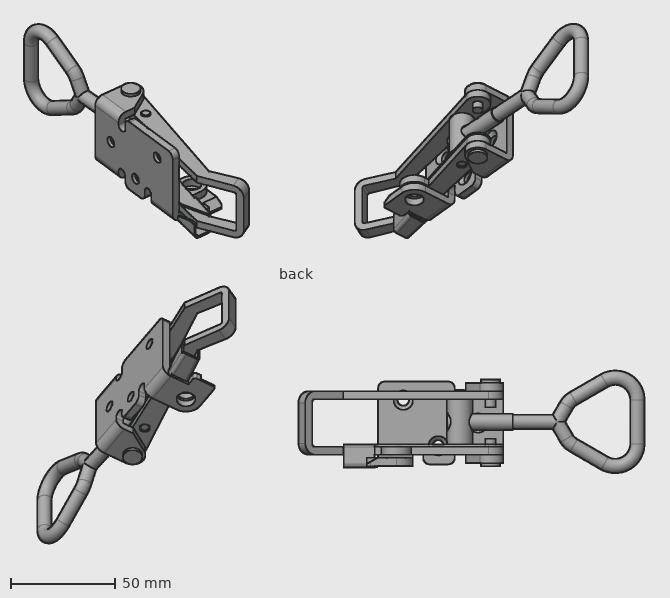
import cadquery as cq
import math


OVERALL_LENGTH = 166.3
SHEET = 4.0
PIVOT = (6.2, 17.0)
PIVOT_ROUND = 6.2
TRUNNION = (21.0, 14.5)
PADLOCK = (51.4, 18.6)
PADLOCK_HOLE_R = 4.5

BASE_LENGTH = 60.2
BASE_HALF_HEIGHT = 20.0
BASE_CORNER_R = 3.3
BEND_R = 4.5
EAR_OUTER_Z = 19.3
EAR_WIDTH = 18.1
EAR_SHOULDER_Y = 9.8
NOTCH_DEPTH_Z = 11.3
NOTCH_TAB_START = 23.3
LOWER_TAB_END = 38.6
LOCK_EAR_START = 43.4
LOCK_EAR_OUTER_Z = 20.8
LOCK_EAR_R = 8.0
HOOK_END = 65.5
HOOK_BOTTOM_Y = 14.5
HOOK_CORNER_R = 1.5
RAMP_START = 60.5
RAMP_BOTTOM_Y = 18.3
RAMP_DROP = 2.8
SCREW_HOLE_R = 2.7
COUNTERSINK_DEPTH = 2.0
SCREW_HOLES = [(12.1, 0), (48.0, 11.0), (31.3, -11.0)]

LEVER_OUTER_Z = EAR_OUTER_Z - SHEET
LEVER_INNER_Z = LEVER_OUTER_Z - SHEET
ELBOW_TOP = (76.8, 9.0)
ELBOW_BOTTOM = (76.5, 2.0)
GRIP_END_TOP = (95.1, 19.3)
GRIP_END_BOTTOM = (98.5, 13.3)
GRIP_CORNER_R = 5.7
GRIP_INNER_R = 1.0
PADLOCK_RING_R = 7.2

CLIP_SHEET = 1.08
CLIP_TOP_Z = CLIP_SHEET - LEVER_INNER_Z
CLIP_BOTTOM_Z = -21.5
CLIP_WRAP_START = 61.9
CLIP_WRAP_END = 76.7
CLIP_GAP = 0.3
CLIP_TOP_BEND_R = 1.2
CLIP_BOTTOM_BEND_R = 1.8
FINGER_START = 60.5
FINGER_END = 75.5
FINGER_PEAK_X = 71.8
FINGER_PEAK_Z = -13.6
FINGER_LOW_Z = -17.8

RIVET_R = 2.5
RIVET_HEAD_R = 4.7
RIVET_HEAD_HEIGHT = 1.58
RIVET_TAIL_Z = 7.7

BARREL_R = 6.2
BARREL_BORE_R = 4.3
BARREL_MID_Z = (LEVER_INNER_Z + CLIP_TOP_Z) / 2
BARREL_LENGTH = LEVER_INNER_Z - CLIP_TOP_Z
JOURNAL_R = 2.5
JOURNAL_LENGTH = 30.6
JOURNAL_CHAMFER = 0.5

WIRE_R = 3.5
THREAD_R = 4.0
THREAD_START = -25.5
LOOP_TILT = 2.0
LOOP_HEIGHT = 49.4
LOOP_CORNER_R = 10.6
LOOP_CORNER_Z = LOOP_HEIGHT / 2 - WIRE_R - LOOP_CORNER_R
LOOP_REACH = OVERALL_LENGTH - GRIP_END_BOTTOM[0] + TRUNNION[0] - WIRE_R
LOOP_BACK_X = -LOOP_REACH / math.cos(math.radians(LOOP_TILT))
LOOP_SIDE_ANGLE = math.radians(30)
LOOP_SIDE_LENGTH = 17.1
LOOP_NECK_ANGLE = math.radians(60)
LOOP_NECK_R = 9.0


def polar(center, radius, angle):
    return (center[0] + radius * math.cos(angle), center[1] + radius * math.sin(angle))


def tangent_point(center, radius, point, side):
    """Where a line from point touches a circle; side +1 is the upper touch, -1 the lower."""
    dx = point[0] - center[0]
    dy = point[1] - center[1]
    angle = math.atan2(dy, dx) + side * math.acos(radius / math.hypot(dx, dy))
    return polar(center, radius, angle)


def prism(outline, z_low, z_high):
    return outline.extrude(z_high - z_low).translate((0, 0, z_low))


def cylinder(center, radius, z_low, z_high):
    return prism(cq.Workplane("XY").center(*center).circle(radius), z_low, z_high)


def polygon_prism(points, z_low, z_high):
    return prism(cq.Workplane("XY").polyline(points).close(), z_low, z_high)


def height_on_line(start, end, x):
    return start[1] + (end[1] - start[1]) * (x - start[0]) / (end[0] - start[0])



def bent_strip(x_start, x_end, outer_z, reach_y):
    """An L section along X: a strip of the plate bent into a flange facing +Z."""
    bend_inner_r = BEND_R - SHEET
    bend_z = outer_z - BEND_R
    mid = math.sqrt(0.5)
    return (
        cq.Workplane("YZ")
        .moveTo(0, 0)
        .lineTo(0, bend_z)
        .threePointArc((BEND_R - BEND_R * mid, bend_z + BEND_R * mid), (BEND_R, outer_z))
        .lineTo(reach_y, outer_z)
        .lineTo(reach_y, outer_z - SHEET)
        .lineTo(BEND_R, outer_z - SHEET)
        .threePointArc((BEND_R - bend_inner_r * mid, bend_z + bend_inner_r * mid), (SHEET, bend_z))
        .lineTo(SHEET, 0)
        .close()
        .extrude(x_end - x_start)
        .translate((x_start, 0, 0))
    )


def pivot_ear():
    shoulder = (EAR_WIDTH, EAR_SHOULDER_Y)
    outline = (
        cq.Workplane("XY")
        .moveTo(PIVOT[0] - PIVOT_ROUND, 0)
        .lineTo(PIVOT[0] - PIVOT_ROUND, PIVOT[1])
        .threePointArc((PIVOT[0], PIVOT[1] + PIVOT_ROUND), tangent_point(PIVOT, PIVOT_ROUND, shoulder, 1))
        .lineTo(*shoulder)
        .lineTo(EAR_WIDTH, 0)
        .close()
    )
    strip = bent_strip(0, EAR_WIDTH, EAR_OUTER_Z, PIVOT[1] + PIVOT_ROUND)
    ear = strip.intersect(prism(outline, 0, EAR_OUTER_Z))
    return ear.cut(cylinder(PIVOT, RIVET_R, LEVER_OUTER_Z, EAR_OUTER_Z))


def lock_ear():
    """Padlock ear with a ramped hook, facing +Z like pivot_ear; it is mirrored to the lower edge."""
    top_y = PADLOCK[1] + LOCK_EAR_R
    inner_z = LOCK_EAR_OUTER_Z - SHEET
    outline = (
        cq.Workplane("XY")
        .moveTo(LOCK_EAR_START, 0)
        .lineTo(LOCK_EAR_START, PADLOCK[1])
        .threePointArc(polar(PADLOCK, LOCK_EAR_R, math.radians(135)), (PADLOCK[0], top_y))
        .lineTo(BASE_LENGTH, top_y)
        .lineTo(BASE_LENGTH, 0)
        .close()
    )
    strip = bent_strip(LOCK_EAR_START, BASE_LENGTH, LOCK_EAR_OUTER_Z, top_y)
    ear = strip.intersect(prism(outline, 0, LOCK_EAR_OUTER_Z))
    hook = (
        cq.Workplane("XY")
        .box(HOOK_END - PADLOCK[0], top_y - HOOK_BOTTOM_Y, SHEET, centered=False)
        .edges(">X and |Z")
        .fillet(HOOK_CORNER_R)
        .translate((PADLOCK[0], HOOK_BOTTOM_Y, inner_z))
    )
    ramp = (
        cq.Workplane("XZ", origin=(0, top_y, 0))
        .polyline([(RAMP_START, inner_z), (HOOK_END, inner_z), (HOOK_END, inner_z + RAMP_DROP)])
        .close()
        .extrude(top_y - RAMP_BOTTOM_Y)
    )
    hole = cylinder(PADLOCK, PADLOCK_HOLE_R, inner_z, LOCK_EAR_OUTER_Z)
    return ear.union(hook.cut(ramp)).cut(hole)


def base_panel():
    """Flat part of the base, with rounded tabs between the corner-relief notches."""
    bend_z = EAR_OUTER_Z - BEND_R
    lock_bend_z = LOCK_EAR_OUTER_Z - BEND_R

    def block(x_start, x_end, z_low, z_high):
        return (
            cq.Workplane("XY")
            .box(x_end - x_start, SHEET, z_high - z_low, centered=False)
            .translate((x_start, 0, z_low))
        )

    panel = block(0, BASE_LENGTH, -bend_z, bend_z)
    panel = panel.union(block(LOCK_EAR_START, BASE_LENGTH, -lock_bend_z, 0))
    upper_tab = block(NOTCH_TAB_START, BASE_LENGTH, 0, BASE_HALF_HEIGHT)
    lower_tab = block(NOTCH_TAB_START, LOWER_TAB_END, -BASE_HALF_HEIGHT, 0)
    panel = panel.union(upper_tab.edges(">Z and |Y").fillet(BASE_CORNER_R))
    panel = panel.union(lower_tab.edges("<Z and |Y").fillet(BASE_CORNER_R))
    notches = [
        (EAR_WIDTH, NOTCH_TAB_START, 1),
        (EAR_WIDTH, NOTCH_TAB_START, -1),
        (LOWER_TAB_END, LOCK_EAR_START, -1),
    ]
    for x_start, x_end, side in notches:
        radius = (x_end - x_start) / 2
        round_z = side * (NOTCH_DEPTH_Z + radius)
        edge_z = side * LOCK_EAR_OUTER_Z
        slot = block(x_start, x_end, min(round_z, edge_z), max(round_z, edge_z))
        end = (
            cq.Workplane("XZ")
            .center(x_start + radius, round_z)
            .circle(radius)
            .extrude(-SHEET)
        )
        panel = panel.cut(slot).cut(end)
    screw_holes = cq.Workplane("XZ").pushPoints(SCREW_HOLES).circle(SCREW_HOLE_R).extrude(-SHEET)
    countersinks = (
        cq.Workplane("XZ", origin=(0, SHEET, 0))
        .pushPoints(SCREW_HOLES)
        .circle(SCREW_HOLE_R + COUNTERSINK_DEPTH)
        .extrude(COUNTERSINK_DEPTH, taper=45)
    )
    return panel.cut(screw_holes).cut(countersinks)


def make_base():
    ear = pivot_ear()
    bend_z = EAR_OUTER_Z - BEND_R
    lock_bend_z = LOCK_EAR_OUTER_Z - BEND_R
    ear = ear.cut(cq.Workplane("XY").box(BASE_LENGTH, SHEET, bend_z, centered=False))
    lock = lock_ear().cut(cq.Workplane("XY").box(BASE_LENGTH, SHEET, lock_bend_z, centered=False))
    return base_panel().union(ear).union(ear.mirror("XY")).union(lock.mirror("XY"))



ARM_TOP = tangent_point(PIVOT, PIVOT_ROUND, ELBOW_TOP, 1)
ARM_BOTTOM = tangent_point(PIVOT, PIVOT_ROUND, ELBOW_BOTTOM, -1)
ARM_BACK = (PIVOT[0] - PIVOT_ROUND, PIVOT[1])


def arm_top_y(x):
    return height_on_line(ARM_TOP, ELBOW_TOP, x)


def arm_bottom_y(x):
    return height_on_line(ARM_BOTTOM, ELBOW_BOTTOM, x)


def grip_opening():
    """Block between the two arms; its end face is parallel to the end of the grip."""
    end_dx = GRIP_END_BOTTOM[0] - GRIP_END_TOP[0]
    end_dy = GRIP_END_BOTTOM[1] - GRIP_END_TOP[1]
    end_length = math.hypot(end_dx, end_dy)
    outward = cq.Vector(-end_dy / end_length, end_dx / end_length, 0)
    inner_face = cq.Plane(
        origin=(
            GRIP_END_TOP[0] - SHEET * outward.x,
            GRIP_END_TOP[1] - SHEET * outward.y,
            0,
        ),
        xDir=(end_dx, end_dy, 0),
        normal=outward.toTuple(),
    )
    reach = GRIP_END_BOTTOM[0]
    return (
        cq.Workplane(inner_face)
        .rect(2 * reach, 2 * LEVER_INNER_Z)
        .extrude(-2 * reach)
        .edges(cq.selectors.ParallelDirSelector(cq.Vector(end_dx, end_dy, 0)))
        .fillet(GRIP_INNER_R)
    )


def padlock_ring():
    """Ear on the lower arm: a ring carried on straight flanks down to the arm."""
    ring = cylinder(PADLOCK, PADLOCK_RING_R, -LEVER_OUTER_Z, -LEVER_INNER_Z)
    left = PADLOCK[0] - PADLOCK_RING_R
    right = PADLOCK[0] + PADLOCK_RING_R
    foot_left = (left, arm_bottom_y(left))
    foot_right = (right, arm_bottom_y(right))
    flanks = polygon_prism(
        [(left, PADLOCK[1]), foot_left, foot_right, (right, PADLOCK[1])], -LEVER_OUTER_Z, -LEVER_INNER_Z
    )
    return ring.union(flanks)


def make_lever():
    side_outline = (
        cq.Workplane("XY")
        .moveTo(*ARM_TOP)
        .threePointArc(ARM_BACK, ARM_BOTTOM)
        .polyline([ELBOW_BOTTOM, GRIP_END_BOTTOM, GRIP_END_TOP, ELBOW_TOP], includeCurrent=True)
        .close()
    )
    lever = prism(side_outline, -LEVER_OUTER_Z, LEVER_OUTER_Z)
    end_mid = [(a + b) / 2 for a, b in zip(GRIP_END_TOP, GRIP_END_BOTTOM)]
    for side in (-1, 1):
        corner = cq.selectors.NearestToPointSelector((*end_mid, side * LEVER_OUTER_Z))
        lever = lever.edges(corner).fillet(GRIP_CORNER_R)
    lever = lever.cut(grip_opening()).union(padlock_ring())
    lever = lever.cut(cylinder(PADLOCK, PADLOCK_HOLE_R, -LEVER_OUTER_Z, 0))
    lever = lever.cut(cylinder(PIVOT, RIVET_R, -LEVER_OUTER_Z, LEVER_OUTER_Z))
    return lever.cut(cylinder(TRUNNION, JOURNAL_R, -LEVER_OUTER_Z, LEVER_OUTER_Z))



def clip_wall_y(x):
    return arm_top_y(x) + CLIP_GAP


def round_long_edges(block, ends, radius):
    """Fillets the lengthwise edges that pass midway between each pair of end points."""
    for start, end in ends:
        middle = [(a + b) / 2 for a, b in zip(start, end)]
        block = block.edges(cq.selectors.NearestToPointSelector(middle)).fillet(radius)
    return block


def clip_tube(x_start, offset, z_low, z_high, low_bend_r):
    """Four-sided block along the lower arm, grown by offset, with rounded lower bends."""
    x_end = CLIP_WRAP_END
    low = [(x, arm_bottom_y(x) - offset) for x in (x_start, x_end)]
    high = [(x, clip_wall_y(x) + offset) for x in (x_start, x_end)]
    block = polygon_prism([*low, *reversed(high)], z_low, z_high)
    lower_edges = [[(*point, z_low) for point in edge] for edge in (low, high)]
    return round_long_edges(block, lower_edges, low_bend_r), high


def clip_wrap():
    """Sheet that wraps the lower arm on its +Z, +Y, -Z and -Y sides."""
    start = CLIP_WRAP_START
    end = CLIP_WRAP_END
    outer, high = clip_tube(FINGER_START, CLIP_SHEET, CLIP_BOTTOM_Z, CLIP_TOP_Z, CLIP_BOTTOM_BEND_R)
    outer = round_long_edges(outer, [[(*point, CLIP_TOP_Z) for point in high]], CLIP_TOP_BEND_R)
    inside, _ = clip_tube(
        FINGER_START,
        0,
        CLIP_BOTTOM_Z + CLIP_SHEET,
        -LEVER_INNER_Z,
        CLIP_BOTTOM_BEND_R - CLIP_SHEET,
    )
    beside_ear = polygon_prism(
        [
            (FINGER_START, arm_bottom_y(FINGER_START)),
            (start, arm_bottom_y(start)),
            (start, PADLOCK[1]),
            (FINGER_START, PADLOCK[1]),
        ],
        CLIP_BOTTOM_Z,
        CLIP_TOP_Z,
    )
    taper = polygon_prism(
        [
            (start, arm_bottom_y(start) - 2 * CLIP_SHEET),
            (end, arm_bottom_y(end) - 2 * CLIP_SHEET),
            (end, arm_top_y(end)),
            (start, arm_bottom_y(start)),
        ],
        -LEVER_INNER_Z,
        CLIP_TOP_Z,
    )
    return outer.cut(inside).cut(beside_ear).cut(taper).cut(finger_trim())


def finger_trim():
    """Removes everything of the -Y wall above the sloped finger and beyond its end."""
    depth = arm_bottom_y(FINGER_START)
    inner_bottom_z = CLIP_BOTTOM_Z + CLIP_SHEET
    return (
        cq.Workplane("XZ", origin=(0, depth, 0))
        .polyline(
            [
                (FINGER_START, 0),
                (FINGER_START, FINGER_LOW_Z),
                (FINGER_PEAK_X, FINGER_PEAK_Z),
                (FINGER_END, FINGER_PEAK_Z),
                (FINGER_END, inner_bottom_z),
                (CLIP_WRAP_END, inner_bottom_z),
                (CLIP_WRAP_END, 0),
            ]
        )
        .close()
        .extrude(2 * depth)
    )


def make_clip():
    start = CLIP_WRAP_START
    end = CLIP_WRAP_END
    plate_outline = (
        cq.Workplane("XY")
        .moveTo(*ARM_TOP)
        .threePointArc(ARM_BACK, ARM_BOTTOM)
        .polyline(
            [(start, arm_bottom_y(start)), (end, arm_top_y(end))],
            includeCurrent=True,
        )
        .close()
    )
    clip = prism(plate_outline, -LEVER_INNER_Z, CLIP_TOP_Z).union(clip_wrap())
    clip = clip.cut(cylinder(PIVOT, RIVET_R, -LEVER_INNER_Z, CLIP_TOP_Z))
    clip = clip.cut(cylinder(PADLOCK, PADLOCK_HOLE_R, -LEVER_INNER_Z, CLIP_TOP_Z))
    return clip.cut(cylinder(TRUNNION, JOURNAL_R, -LEVER_INNER_Z, CLIP_TOP_Z))



def make_rivet(side):
    shank = cylinder(PIVOT, RIVET_R, RIVET_TAIL_Z, EAR_OUTER_Z)
    head = cylinder(PIVOT, RIVET_HEAD_R, EAR_OUTER_Z, EAR_OUTER_Z + RIVET_HEAD_HEIGHT)
    rivet = shank.union(head)
    return rivet if side > 0 else rivet.mirror("XY")



def make_barrel():
    barrel = cq.Workplane("XY").circle(BARREL_R).extrude(BARREL_LENGTH / 2, both=True)
    journals = (
        cq.Workplane("XY")
        .circle(JOURNAL_R)
        .extrude(JOURNAL_LENGTH / 2, both=True)
        .faces("|Z")
        .chamfer(JOURNAL_CHAMFER)
    )
    bore = (
        cq.Workplane("YZ")
        .circle(BARREL_BORE_R)
        .extrude(BARREL_R, both=True)
        .rotate((0, 0, 0), (0, 0, 1), LOOP_TILT)
    )
    return barrel.union(journals).cut(bore).translate((*TRUNNION, BARREL_MID_Z))



def half_loop():
    """Upper half of the bent wire, with the X where its centre line meets the rod axis."""
    corner = (LOOP_BACK_X + LOOP_CORNER_R, LOOP_CORNER_Z)
    side_start = polar(corner, LOOP_CORNER_R, math.pi / 2 - LOOP_SIDE_ANGLE)
    corner_mid_angle = (3 * math.pi / 2 - LOOP_SIDE_ANGLE) / 2
    side_end = polar(side_start, LOOP_SIDE_LENGTH, -LOOP_SIDE_ANGLE)
    neck = polar(side_end, LOOP_NECK_R, -math.pi / 2 - LOOP_SIDE_ANGLE)
    neck_mid_angle = math.pi / 2 - (LOOP_SIDE_ANGLE + LOOP_NECK_ANGLE) / 2
    neck_end = polar(neck, LOOP_NECK_R, math.pi / 2 - LOOP_NECK_ANGLE)
    tail_length = neck_end[1] / math.sin(LOOP_NECK_ANGLE) + 2 * WIRE_R
    tail = polar(neck_end, tail_length, -LOOP_NECK_ANGLE)
    path = (
        cq.Workplane("XZ")
        .moveTo(LOOP_BACK_X, 0)
        .lineTo(LOOP_BACK_X, LOOP_CORNER_Z)
        .threePointArc(polar(corner, LOOP_CORNER_R, corner_mid_angle), side_start)
        .lineTo(*side_end)
        .threePointArc(polar(neck, LOOP_NECK_R, neck_mid_angle), neck_end)
        .lineTo(*tail)
    )
    wire = cq.Workplane("XY").center(LOOP_BACK_X, 0).circle(WIRE_R).sweep(path)
    reach = -LOOP_BACK_X + WIRE_R
    upper_space = cq.Workplane("XY").rect(2 * reach, 2 * reach).extrude(reach)
    mitre_x = neck_end[0] + neck_end[1] / math.tan(LOOP_NECK_ANGLE)
    return wire.intersect(upper_space), mitre_x


def make_loop():
    upper, mitre_x = half_loop()
    rod = cq.Workplane("YZ", origin=(mitre_x, 0, 0)).circle(WIRE_R).extrude(THREAD_START - mitre_x)
    thread_length = BARREL_R - THREAD_START
    thread = cq.Workplane("YZ", origin=(THREAD_START, 0, 0)).circle(THREAD_R).extrude(thread_length)
    loop = upper.union(upper.mirror("XY")).union(rod).union(thread)
    return loop.rotate((0, 0, 0), (0, 0, 1), LOOP_TILT).translate((*TRUNNION, BARREL_MID_Z))


base = make_base()
lever = make_lever()
clip = make_clip()
rivets = [make_rivet(side) for side in (1, -1)]
barrel = make_barrel()
loop = make_loop()

bodies = [base, lever, clip, barrel, loop, *rivets]
result = cq.Compound.makeCompound([body.solids().val() for body in bodies])